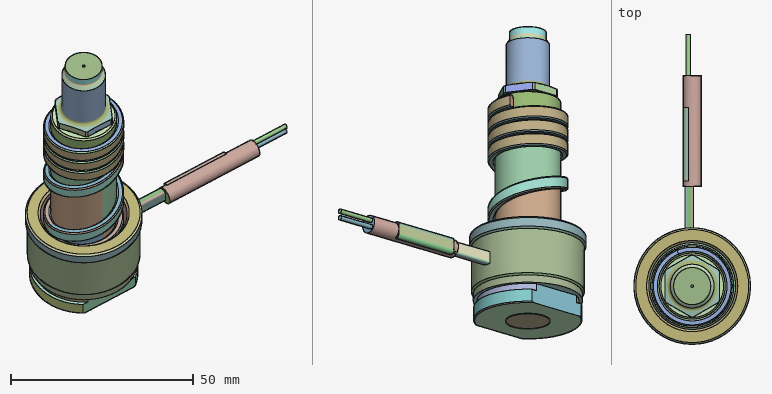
import cadquery as cq
import math

TOTAL_HEIGHT = 84.2
TIP_RADIUS = 5.1
TIP_HEIGHT = 2.1
TIP_FILLET = 0.7
STEM_RADIUS = 6.0
STEM_SHOULDER_Z = 80.6
PIN_HOLE_DIAMETER = 0.7
PIN_HOLE_DEPTH = 2.0

HEX_ACROSS_FLATS = 15.0
HEX_CORNER_RADIUS = 8.45
HEX_BOTTOM_Z = 64.7
HEX_RIM_Z = 66.7
HEX_FACE_Z = 67.0
HEX_FACE_RADIUS = 7.0
FLARE_HEIGHT = 1.0

CORE_RADIUS = 9.05
CORE_TOP_Z = 64.2
CORE_CHAMFER = 0.45
NECK_RADIUS = 7.0

THREAD_RADIUS = 11.0
THREAD_WIDTH = 3.5
THREAD_CHAMFER = 0.35
THREAD_ROOT_CHAMFER = 0.5
THREAD_ROOT_OVERLAP = 0.6
CLOSE_PITCH = 4.0
LONG_PITCH = 17.8
THREAD_Z_AT_X_AXIS = 59.75
THREAD_START_ANGLE = 113.0
UPPER_CLOSE_ANGLE = 1163.0
LONG_ANGLE = 486.0
LOWER_CLOSE_ANGLE = 360.0

CUP_TOP_Z = 25.0
RIM_RADIUS = 16.0
RIM_BOTTOM_Z = 22.0
RIM_CHAMFER = 0.5
CUP_RADIUS = 15.5
CUP_BOTTOM_Z = 8.6
STEP_HEIGHT = 0.5
BAND_RADIUS = 15.0
BAND_BOTTOM_Z = 6.0
BORE_RADIUS = 11.9
BORE_CHAMFER = 0.6
BORE_FLOOR_Z = 12.0
FLOOR_BEVEL = 0.5

GROOVE_RADIUS = 14.0
BASE_RADIUS = 14.9
BASE_TOP_Z = 4.0
BASE_BOTTOM_Z = 0.2
BASE_CHAMFER = 0.3
WRENCH_FLATS_WIDTH = 24.0
PAD_RADIUS = 6.1

CABLE_END_Y = 69.0
SLEEVE_START_Y = 27.3
SLEEVE_END_Y = 57.7
SLEEVE_RADIUS = 2.5
SLEEVE_Z = 14.65
STRIP_START_Y = 14.0
STRIP_X = -0.8
STRIP_Z = 14.5
STRIP_THICKNESS = 2.4
STRIP_HEIGHT = 3.6
STRIP_FILLET = 0.55
WIRE_X = -1.05
WIRE_RADIUS = 0.65
WIRE_SPACING = 1.9
WIRE_SEAT = 1.0
LABEL_START_Y = 28.85
LABEL_END_Y = 48.9
LABEL_INNER_X = -1.0
LABEL_HEIGHT = 4.7
LABEL_FILLET = 1.0


def revolve_profile(profile):
    """Spin a closed (radius, z) outline about the Z axis."""
    return profile.close().revolve(360, (0, 0, 0), (0, 1, 0))


def rod(radius, start_y, end_y, x, z):
    """Round bar parallel to Y."""
    direction = cq.Vector(0, 1, 0)
    return cq.Workplane(cq.Solid.makeCylinder(radius, end_y - start_y, cq.Vector(x, start_y, z), direction))


def bar(start_y, end_y, x, z, thickness, height):
    """Rectangular bar parallel to Y, centred on (x, z)."""
    length = end_y - start_y
    return cq.Workplane().box(thickness, length, height).translate((x, (start_y + end_y) / 2, z))


def make_stem():
    tip_foot_z = TOTAL_HEIGHT - TIP_HEIGHT
    eighth = TIP_FILLET * math.sqrt(0.5)
    fillet_end = (TIP_RADIUS + TIP_FILLET - eighth, tip_foot_z - eighth)
    fillet_mid = (
        TIP_RADIUS + TIP_FILLET * (1 - math.cos(math.pi / 8)),
        tip_foot_z - TIP_FILLET * math.sin(math.pi / 8),
    )
    flare_mid = (
        HEX_FACE_RADIUS - (HEX_FACE_RADIUS - STEM_RADIUS) * math.sqrt(0.5),
        HEX_FACE_Z + FLARE_HEIGHT * (1 - math.sqrt(0.5)),
    )
    stem = revolve_profile(
        cq.Workplane("XZ")
        .moveTo(0, HEX_FACE_Z)
        .lineTo(HEX_FACE_RADIUS, HEX_FACE_Z)
        .threePointArc(flare_mid, (STEM_RADIUS, HEX_FACE_Z + FLARE_HEIGHT))
        .lineTo(STEM_RADIUS, STEM_SHOULDER_Z)
        .lineTo(*fillet_end)
        .threePointArc(fillet_mid, (TIP_RADIUS, tip_foot_z))
        .lineTo(TIP_RADIUS, TOTAL_HEIGHT)
        .lineTo(0, TOTAL_HEIGHT)
    )
    return stem.faces(">Z").workplane().hole(PIN_HOLE_DIAMETER, PIN_HOLE_DEPTH)


def make_hex_collar():
    corner_diameter = HEX_ACROSS_FLATS / math.cos(math.pi / 6)
    hexagon = (
        cq.Workplane()
        .workplane(offset=HEX_BOTTOM_Z)
        .polygon(6, corner_diameter)
        .extrude(HEX_FACE_Z - HEX_BOTTOM_Z)
        .rotate((0, 0, 0), (0, 0, 1), 30)
    )
    corner_limit = revolve_profile(
        cq.Workplane("XZ")
        .moveTo(0, HEX_BOTTOM_Z)
        .lineTo(HEX_CORNER_RADIUS, HEX_BOTTOM_Z)
        .lineTo(HEX_CORNER_RADIUS, HEX_RIM_Z)
        .lineTo(HEX_FACE_RADIUS, HEX_FACE_Z)
        .lineTo(0, HEX_FACE_Z)
    )
    return hexagon.intersect(corner_limit)


def make_core():
    height = CORE_TOP_Z - BORE_FLOOR_Z
    core = cq.Workplane().workplane(offset=BORE_FLOOR_Z).circle(CORE_RADIUS).extrude(height)
    core = core.faces(">Z").chamfer(CORE_CHAMFER)
    return core.faces(">Z").workplane().circle(NECK_RADIUS).extrude(HEX_BOTTOM_Z - CORE_TOP_Z)


def make_thread_run(top_angle, turn_angle, top_z, pitch):
    """One constant-pitch run of thread, descending from top_angle; returns its solid and bottom height."""
    drop = pitch * turn_angle / 360
    root = CORE_RADIUS - THREAD_ROOT_OVERLAP
    half = THREAD_WIDTH / 2
    land = half - THREAD_CHAMFER
    shoulder = THREAD_RADIUS - THREAD_CHAMFER
    root_land = half - THREAD_ROOT_CHAMFER - THREAD_ROOT_OVERLAP
    root_shoulder = CORE_RADIUS + THREAD_ROOT_CHAMFER
    helix = cq.Wire.makeHelix(pitch, drop, CORE_RADIUS)
    run = (
        cq.Workplane("XZ")
        .moveTo(root, -root_land)
        .lineTo(root_shoulder, -half)
        .lineTo(shoulder, -half)
        .lineTo(THREAD_RADIUS, -land)
        .lineTo(THREAD_RADIUS, land)
        .lineTo(shoulder, half)
        .lineTo(root_shoulder, half)
        .lineTo(root, root_land)
        .close()
        .sweep(cq.Workplane(helix), isFrenet=True)
    )
    bottom_z = top_z - drop
    run = run.rotate((0, 0, 0), (0, 0, 1), top_angle - turn_angle).translate((0, 0, bottom_z))
    return run, bottom_z


def make_threaded_core():
    threaded = make_core()
    angle = THREAD_START_ANGLE
    z = THREAD_Z_AT_X_AXIS + CLOSE_PITCH * angle / 360
    runs = (
        (UPPER_CLOSE_ANGLE, CLOSE_PITCH),
        (LONG_ANGLE, LONG_PITCH),
        (LOWER_CLOSE_ANGLE, CLOSE_PITCH),
    )
    for turn_angle, pitch in runs:
        run, z = make_thread_run(angle, turn_angle, z, pitch)
        threaded = threaded.union(run)
        angle -= turn_angle
    return threaded


def make_cup():
    return revolve_profile(
        cq.Workplane("XZ")
        .moveTo(0, BAND_BOTTOM_Z)
        .lineTo(BAND_RADIUS, BAND_BOTTOM_Z)
        .lineTo(BAND_RADIUS, CUP_BOTTOM_Z - STEP_HEIGHT)
        .lineTo(CUP_RADIUS, CUP_BOTTOM_Z)
        .lineTo(CUP_RADIUS, RIM_BOTTOM_Z - STEP_HEIGHT)
        .lineTo(RIM_RADIUS, RIM_BOTTOM_Z)
        .lineTo(RIM_RADIUS, CUP_TOP_Z - RIM_CHAMFER)
        .lineTo(RIM_RADIUS - RIM_CHAMFER, CUP_TOP_Z)
        .lineTo(BORE_RADIUS + BORE_CHAMFER, CUP_TOP_Z)
        .lineTo(BORE_RADIUS, CUP_TOP_Z - BORE_CHAMFER)
        .lineTo(BORE_RADIUS, BORE_FLOOR_Z - FLOOR_BEVEL)
        .lineTo(BORE_RADIUS - FLOOR_BEVEL, BORE_FLOOR_Z)
        .lineTo(0, BORE_FLOOR_Z)
    )


def make_base():
    base = revolve_profile(
        cq.Workplane("XZ")
        .lineTo(PAD_RADIUS, 0)
        .lineTo(PAD_RADIUS, BASE_BOTTOM_Z)
        .lineTo(BASE_RADIUS - BASE_CHAMFER, BASE_BOTTOM_Z)
        .lineTo(BASE_RADIUS, BASE_BOTTOM_Z + BASE_CHAMFER)
        .lineTo(BASE_RADIUS, BASE_TOP_Z)
        .lineTo(GROOVE_RADIUS, BASE_TOP_Z)
        .lineTo(GROOVE_RADIUS, BAND_BOTTOM_Z)
        .lineTo(0, BAND_BOTTOM_Z)
    )
    between_flats = cq.Workplane().rect(WRENCH_FLATS_WIDTH, 2 * BASE_RADIUS).extrude(BAND_BOTTOM_Z)
    return base.intersect(between_flats)


def make_cable():
    sleeve = rod(SLEEVE_RADIUS, SLEEVE_START_Y, SLEEVE_END_Y, 0, SLEEVE_Z)
    strip_end_y = SLEEVE_START_Y + WIRE_SEAT
    strip = bar(STRIP_START_Y, strip_end_y, STRIP_X, STRIP_Z, STRIP_THICKNESS, STRIP_HEIGHT)
    cable = sleeve.union(strip.edges("|Y").fillet(STRIP_FILLET))

    label_x = (LABEL_INNER_X - SLEEVE_RADIUS) / 2
    label_thickness = LABEL_INNER_X + SLEEVE_RADIUS
    label = bar(LABEL_START_Y, LABEL_END_Y, label_x, SLEEVE_Z, label_thickness, LABEL_HEIGHT)
    cable = cable.union(label.edges("|Y and <X").fillet(LABEL_FILLET))

    for side in (-1, 1):
        wire_z = STRIP_Z + side * WIRE_SPACING / 2
        cable = cable.union(rod(WIRE_RADIUS, SLEEVE_END_Y - WIRE_SEAT, CABLE_END_Y, WIRE_X, wire_z))
    return cable


result = (
    make_threaded_core()
    .union(make_hex_collar())
    .union(make_stem())
    .union(make_cup())
    .union(make_base())
    .union(make_cable())
)